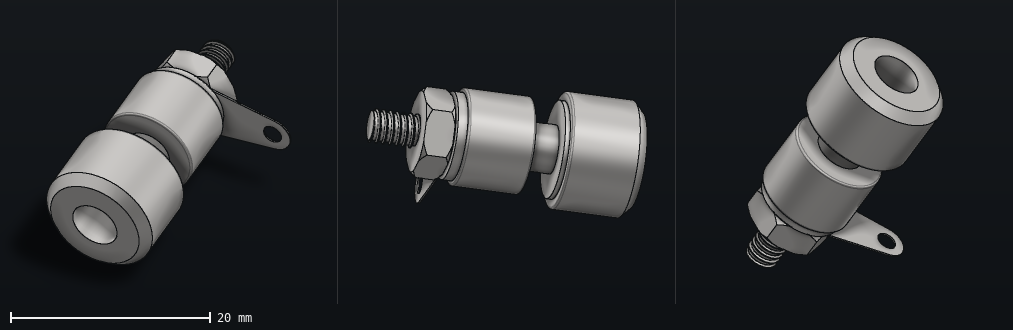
import cadquery as cq
import math


knob_dia = 12.0
knob_length = 8.0
knob_front_chamfer = 1.0
collar_dia = 10.0
collar_length = 0.5
socket_dia = 5.0
socket_depth = knob_length

edge_radius = 0.2

stem_dia = 5.0
stem_length = 3.0
body_dia = 10.0
body_length = 7.0
ring_dia = 9.0
ring_length = 1.0

lug_thickness = 0.2
lug_hub_radius = 3.5
lug_eye_radius = 2.0
lug_eye_distance = 10.0
lug_hole_dia = 2.0

nut_sides = 6
nut_across_flats = 8.0
nut_length = 3.0
nut_corner_chamfer = 0.5

stud_length = 4.8
stud_core_dia = 3.0
thread_dia = 3.5
thread_pitch = 0.7
thread_flank_angle = 30.0
thread_crest_width = thread_pitch / 8
thread_root_overlap = 0.1
flank_intervals = 12
thread_runout = 0.62

collar_start = knob_length
stem_start = collar_start + collar_length
body_start = stem_start + stem_length
ring_start = body_start + body_length
lug_start = ring_start + ring_length
nut_start = lug_start + lug_thickness
stud_start = nut_start + nut_length
stud_end = stud_start + stud_length


def plane_at(y):
    """Workplane across the axis at station y: local x is +X, local y is +Z, normal is -Y."""
    return cq.Workplane("XZ", origin=(0, y, 0))


def cylinder(diameter, y, length):
    """Round bar on the axis, from station y towards +Y."""
    return plane_at(y).circle(diameter / 2).extrude(-length)


def make_knob():
    knob = cylinder(knob_dia, 0, knob_length)
    knob = knob.faces("<Y").chamfer(knob_front_chamfer)
    knob = knob.faces(">Y").fillet(edge_radius)
    collar = cylinder(collar_dia, collar_start, collar_length)
    socket = cylinder(socket_dia, 0, socket_depth)
    return knob.union(collar).cut(socket)


def make_body():
    stem = cylinder(stem_dia, stem_start, stem_length)
    body = cylinder(body_dia, body_start, body_length).faces("<Y or >Y").fillet(edge_radius)
    ring = cylinder(ring_dia, ring_start, ring_length)
    return stem.union(body).union(ring)


def make_lug():
    """Flat teardrop: hub and eye arcs joined by their common tangents, with a hole in the eye."""
    tangent_angle = math.acos((lug_hub_radius - lug_eye_radius) / lug_eye_distance)
    cos_t = math.cos(tangent_angle)
    sin_t = math.sin(tangent_angle)
    hub_x = lug_hub_radius * cos_t
    hub_z = lug_hub_radius * sin_t
    eye_x = lug_eye_distance + lug_eye_radius * cos_t
    eye_z = lug_eye_radius * sin_t
    lug = (
        plane_at(lug_start)
        .moveTo(hub_x, hub_z)
        .lineTo(eye_x, eye_z)
        .threePointArc((lug_eye_distance + lug_eye_radius, 0), (eye_x, -eye_z))
        .lineTo(hub_x, -hub_z)
        .threePointArc((-lug_hub_radius, 0), (hub_x, hub_z))
        .close()
        .extrude(-lug_thickness)
    )
    hole = cylinder(lug_hole_dia, lug_start, lug_thickness).translate((lug_eye_distance, 0, 0))
    return lug.cut(hole)


def make_nut():
    """Hexagon with corners on the X axis, its corners turned down at both ends."""
    across_corners = nut_across_flats / math.cos(math.pi / nut_sides)
    hexagon = plane_at(nut_start).polygon(nut_sides, across_corners).extrude(-nut_length)
    turned_blank = cylinder(across_corners, nut_start, nut_length)
    turned_blank = turned_blank.faces("<Y or >Y").chamfer(nut_corner_chamfer)
    return hexagon.intersect(turned_blank)


def make_stud():
    """Plain core with a right-hand helical ridge.

    The ridge is one cross-section twisted one turn per pitch along the axis. The section is a
    root arc sunk below the core, a crest arc and two spiral flanks between them, so a slice
    along the axis shows a straight-sided ridge.
    """
    core = cylinder(stud_core_dia, stud_start, stud_length)

    root_radius = stud_core_dia / 2 - thread_root_overlap
    crest_radius = thread_dia / 2
    radians_per_mm = 2 * math.pi / thread_pitch
    flank_width = (crest_radius - root_radius) * math.tan(math.radians(thread_flank_angle))
    crest_angle = thread_crest_width / 2 * radians_per_mm
    root_angle = crest_angle + flank_width * radians_per_mm

    crest_direction = math.pi - thread_runout * radians_per_mm

    def polar(radius, angle):
        direction = crest_direction + angle
        return (radius * math.cos(direction), radius * math.sin(direction))

    def flank_point(rise, side):
        """Point on a flank, from root (rise 0) to crest (rise 1); side is -1 or +1."""
        radius = root_radius + (crest_radius - root_radius) * rise
        angle = root_angle + (crest_angle - root_angle) * rise
        return polar(radius, side * angle)

    ridge = (
        plane_at(stud_end)
        .moveTo(*polar(root_radius, -root_angle))
        .parametricCurve(lambda t: flank_point(t, -1), N=flank_intervals, makeWire=False)
        .threePointArc(polar(crest_radius, 0), polar(crest_radius, crest_angle))
        .parametricCurve(lambda t: flank_point(1 - t, 1), N=flank_intervals, makeWire=False)
        .threePointArc(polar(root_radius, math.pi), polar(root_radius, -root_angle))
        .close()
        .twistExtrude(stud_length, 360 * stud_length / thread_pitch)
    )
    return core.union(ridge)


result = make_knob().union(make_body()).union(make_lug()).union(make_nut()).union(make_stud())